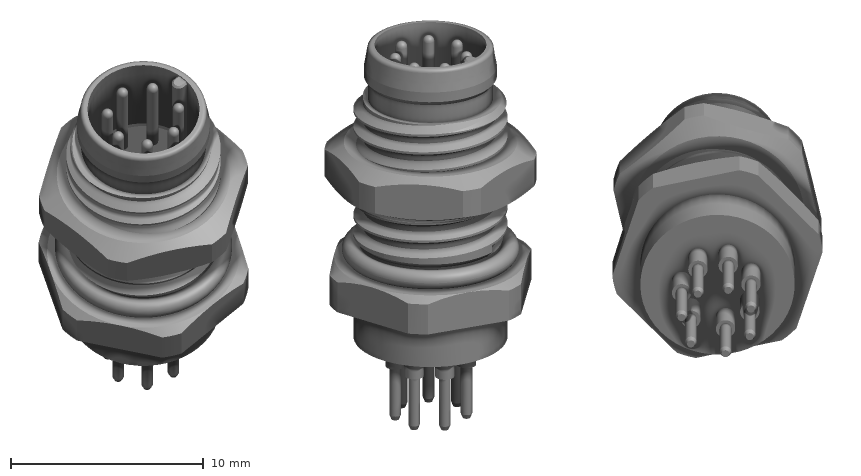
import cadquery as cq
import math


sleeve_bottom = 3.0
base_bottom = 4.5
flange_bottom = 7.0
flange_top = 9.0
thread_bottom = 10.0
nut_bottom = 13.0
nut_top = 15.5
socket_floor = 16.0
thread_top = 18.0
rim_groove_top = 19.0
rim_straight_bottom = 19.25
rim_straight_top = 19.8
shell_top = 21.0

base_radius = 4.0
neck_radius = 3.25
rim_radius = 3.45
rim_top_radius = 3.25
rim_fillet = 0.22
socket_radius = 2.9
socket_floor_chamfer = 0.1

thread_radius = 4.0
pitch = 1.0
thread_chamfer = 0.3
flank_angle = 60.0
flank_slope = math.tan(math.radians(flank_angle / 2))
crest_width = pitch / 8
thread_depth = 0.5
root_width = pitch - crest_width - 2 * thread_depth * flank_slope
root_radius = thread_radius - thread_depth
cutter_overshoot = 0.05
groove_start = thread_bottom + pitch / 4
groove_start_angle = 90.0
groove_sections = 6

across_flats = 10.0
nut_turn = 30.0
flange_turn = 0.0
corner_radius = 5.5
nut_bore_radius = 3.75
nut_face_radius = 4.5
nut_chamfer_height = 0.5
flange_face_radius = 5.0
flange_chamfer_height = 0.3

seal_tube_radius = (thread_bottom - flange_top) / 2
seal_centre_radius = 4.1

pin_count = 7
pin_spacing_angle = 50.0
first_pin_angle = -90 - (pin_count // 2) * pin_spacing_angle
pin_circle_radius = 1.88
pin_radius = 0.3
pin_top = 20.7
pin_tip_length = 0.25
pin_tip_radius = 0.2
sleeve_radius = 0.5

key_radius = 0.35
key_centre = 2.6
key_chamfer = 0.1
key_top = 20.9


def revolve_profile(points):
    """Turn an outline of (radius, height) points about the Z axis."""
    return cq.Workplane("XZ").polyline(points).close().revolve(360, (0, 0, 0), (0, 1, 0))


def cylinder(radius, bottom, top):
    return cq.Workplane("XY").workplane(offset=bottom).circle(radius).extrude(top - bottom)


def threaded_barrel():
    """Threaded length with chamfered ends; the groove runs out just above the lower end."""
    barrel = cylinder(thread_radius, thread_bottom, thread_top).faces("<Z or >Z").chamfer(thread_chamfer)

    outer_radius = thread_radius + cutter_overshoot
    half_root = root_width / 2
    half_mouth = half_root + (outer_radius - root_radius) * flank_slope
    section_height = (thread_top + pitch - groove_start) / groove_sections
    helix = cq.Wire.makeHelix(pitch, section_height, root_radius)
    cutter = (
        cq.Workplane("XZ")
        .polyline(
            [
                (root_radius, -half_root),
                (outer_radius, -half_mouth),
                (outer_radius, half_mouth),
                (root_radius, half_root),
            ]
        )
        .close()
        .sweep(cq.Workplane(obj=helix), isFrenet=True)
    )
    for section in range(groove_sections):
        rise = section * section_height
        turn = groove_start_angle + 360 * rise / pitch
        placed_cutter = cutter.rotate((0, 0, 0), (0, 0, 1), turn).translate((0, 0, groove_start + rise))
        barrel = barrel.cut(placed_cutter)
    return barrel


def base():
    return cylinder(base_radius, base_bottom, flange_top)


def plug_rim():
    """Smooth collar above the thread: a groove, a latching bead and a tapered, rounded lead-in."""
    rim = revolve_profile(
        [
            (0, thread_top),
            (neck_radius, thread_top),
            (neck_radius, rim_groove_top),
            (rim_radius, rim_straight_bottom),
            (rim_radius, rim_straight_top),
            (rim_top_radius, shell_top),
            (0, shell_top),
        ]
    )
    return rim.faces(">Z").edges().fillet(rim_fillet)


def socket():
    """Space removed inside the shell, with a bevel around its floor."""
    return revolve_profile(
        [
            (0, socket_floor),
            (socket_radius - socket_floor_chamfer, socket_floor),
            (socket_radius, socket_floor + socket_floor_chamfer),
            (socket_radius, shell_top),
            (0, shell_top),
        ]
    )


def hexagon(bottom, top, turn):
    """Hexagonal prism, turned about Z by an angle in degrees."""
    return (
        cq.Workplane("XY")
        .workplane(offset=bottom)
        .polygon(6, across_flats, circumscribed=True)
        .extrude(top - bottom)
        .rotate((0, 0, 0), (0, 0, 1), turn)
    )


def nut():
    """Hexagon nut with corners along X, chamfered on both faces; its bore bites into the thread crests."""
    envelope = revolve_profile(
        [
            (nut_bore_radius, nut_bottom),
            (nut_face_radius, nut_bottom),
            (corner_radius, nut_bottom + nut_chamfer_height),
            (corner_radius, nut_top - nut_chamfer_height),
            (nut_face_radius, nut_top),
            (nut_bore_radius, nut_top),
        ]
    )
    return hexagon(nut_bottom, nut_top, nut_turn).intersect(envelope)


def flange():
    """Hexagon flange with corners along Y, chamfered on its upper face."""
    envelope = revolve_profile(
        [
            (0, flange_bottom),
            (corner_radius, flange_bottom),
            (corner_radius, flange_top - flange_chamfer_height),
            (flange_face_radius, flange_top),
            (0, flange_top),
        ]
    )
    return hexagon(flange_bottom, flange_top, flange_turn).intersect(envelope)


def seal():
    """Sealing ring, with the core that it surrounds."""
    ring = (
        cq.Workplane("XZ")
        .center(seal_centre_radius, flange_top + seal_tube_radius)
        .circle(seal_tube_radius)
        .revolve(360, (-seal_centre_radius, 0, 0), (-seal_centre_radius, 1, 0))
    )
    return ring.union(cylinder(thread_radius - thread_chamfer, flange_top, thread_bottom))


def contact_pin(angle):
    """Pin with a domed upper end, a tapered lower tip and a sleeve below the base."""
    dome_base = pin_top - pin_radius
    dome_middle = pin_radius * math.sqrt(0.5)
    pin = (
        cq.Workplane("XZ")
        .moveTo(0, 0)
        .lineTo(pin_tip_radius, 0)
        .lineTo(pin_radius, pin_tip_length)
        .lineTo(pin_radius, dome_base)
        .threePointArc((dome_middle, dome_base + dome_middle), (0, pin_top))
        .close()
        .revolve(360, (0, 0, 0), (0, 1, 0))
        .union(cylinder(sleeve_radius, sleeve_bottom, base_bottom))
    )
    x = pin_circle_radius * math.cos(math.radians(angle))
    y = pin_circle_radius * math.sin(math.radians(angle))
    return pin.translate((x, y, 0))


def key():
    """Upright rib with a rounded front, joined to the +Y side of the socket wall."""
    post = (
        cq.Workplane("XY")
        .workplane(offset=socket_floor)
        .moveTo(-key_radius, socket_radius)
        .lineTo(-key_radius, key_centre)
        .threePointArc((0, key_centre - key_radius), (key_radius, key_centre))
        .lineTo(key_radius, socket_radius)
        .close()
        .extrude(key_top - socket_floor)
    )
    return post.faces(">Z").edges("not >Y").chamfer(key_chamfer)


contacts = key()
for index in range(pin_count):
    contacts = contacts.union(contact_pin(first_pin_angle + index * pin_spacing_angle))

lower_body = base().union(flange()).union(seal())
result = threaded_barrel().union(plug_rim()).cut(socket()).union(lower_body).union(contacts).union(nut())